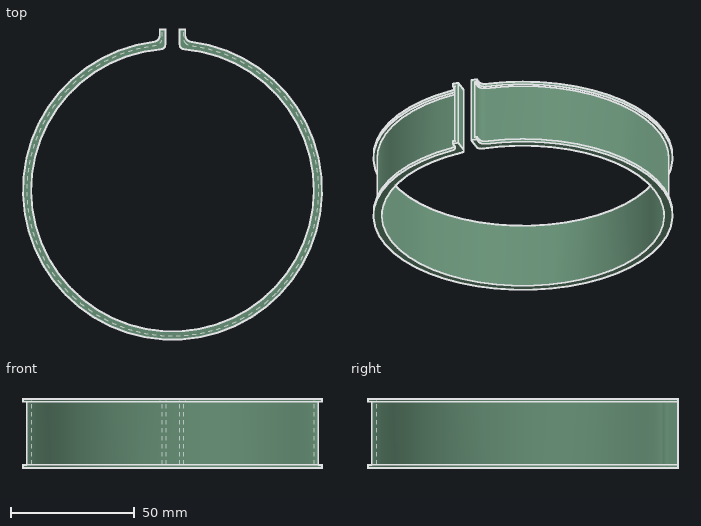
import cadquery as cq

height = 28.0
inner_radius = 57.1
flange_radius = 60.5
web_radius = 59.0
flange_height = 1.3
tab_tip_y = 65.0
split_width = 5.7
flange_tab_thickness = 2.4
web_tab_thickness = 1.5
flange_bend_radius = 2.5
web_bend_radius = 3.0
split_edge_radius = 2.0


def ring_layer(outer_radius, tab_thickness, bend_radius, layer_height):
    """Split ring with tabs, extruded upward from the XY plane."""
    tabs_width = split_width + 2 * tab_thickness
    tabs = cq.Workplane("XY").rect(tabs_width, tab_tip_y).extrude(layer_height)
    tabs = tabs.translate((0, tab_tip_y / 2, 0))
    split = cq.Workplane("XY").rect(split_width, tab_tip_y).extrude(layer_height)
    split = split.translate((0, tab_tip_y / 2, 0))
    bore = cq.Workplane("XY").circle(inner_radius).extrude(layer_height)

    body = cq.Workplane("XY").circle(outer_radius).extrude(layer_height).union(tabs)
    half_tabs = tabs_width / 2
    bend_y = (outer_radius**2 - half_tabs**2) ** 0.5
    body = round_edges(body, half_tabs, bend_y, bend_radius)

    body = body.cut(bore).cut(split)
    half_split = split_width / 2
    split_edge_y = (inner_radius**2 - half_split**2) ** 0.5
    body = round_edges(body, half_split, split_edge_y, split_edge_radius)
    return body


def round_edges(body, half_width, y, radius):
    """Fillet the mirrored pair of upright edges at x = +/- half_width."""
    for side in (-1, 1):
        mid_height = body.val().BoundingBox().center.z
        edge = cq.selectors.NearestToPointSelector((side * half_width, y, mid_height))
        body = body.edges("|Z").edges(edge).fillet(radius)
    return body


web = ring_layer(web_radius, web_tab_thickness, web_bend_radius, height)
lower_flange = ring_layer(flange_radius, flange_tab_thickness, flange_bend_radius, flange_height)
upper_flange = lower_flange.translate((0, 0, height - flange_height))

result = web.union(lower_flange).union(upper_flange).translate((0, 0, -height / 2))